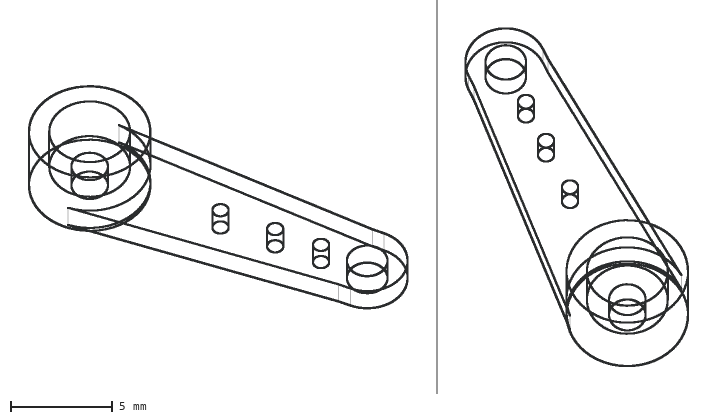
import cadquery as cq
import math

hub_diameter = 6.0
hub_height = 4.0
bore_diameter = 4.0
bore_floor = 1.4
screw_hole_diameter = 1.8

overall_length = 20.1
arm_bottom = 0.22
arm_thickness = 1.29
tip_diameter = 4.0
tip_hole_diameter = 2.0
small_hole_diameter = 0.8
small_hole_positions = [7.12, 10.1, 12.58]
taper_end_setback = 0.65

hub_radius = hub_diameter / 2
tip_radius = tip_diameter / 2
tip_x = overall_length - hub_radius - tip_radius
taper_end_x = tip_x - taper_end_setback
arm_top = arm_bottom + arm_thickness

taper_end_distance = math.hypot(taper_end_x, tip_radius)
tangent_angle = math.atan2(tip_radius, taper_end_x) + math.acos(hub_radius / taper_end_distance)
tangent_x = hub_radius * math.cos(tangent_angle)
tangent_y = hub_radius * math.sin(tangent_angle)


def cylinder(diameter, bottom, top, x=0):
    """Upright cylinder between two heights."""
    return cq.Workplane("XY", origin=(x, 0, bottom)).circle(diameter / 2).extrude(top - bottom)


def make_arm():
    return (
        cq.Workplane("XY", origin=(0, 0, arm_bottom))
        .moveTo(tangent_x, -tangent_y)
        .lineTo(taper_end_x, -tip_radius)
        .lineTo(tip_x, -tip_radius)
        .threePointArc((tip_x + tip_radius, 0), (tip_x, tip_radius))
        .lineTo(taper_end_x, tip_radius)
        .lineTo(tangent_x, tangent_y)
        .close()
        .extrude(arm_thickness)
    )


result = cylinder(hub_diameter, 0, hub_height).union(make_arm())

result = result.cut(cylinder(bore_diameter, bore_floor, hub_height))
result = result.cut(cylinder(screw_hole_diameter, 0, hub_height))

result = result.cut(cylinder(tip_hole_diameter, arm_bottom, arm_top, tip_x))
for hole_x in small_hole_positions:
    result = result.cut(cylinder(small_hole_diameter, arm_bottom, arm_top, hole_x))